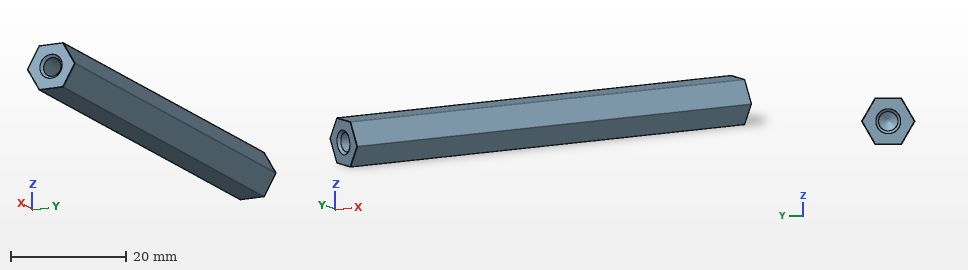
import cadquery as cq
import math

length = 80.0
across_flats = 8.0
across_corners = across_flats / math.cos(math.radians(30))
edge_break = 0.1

hole_diameter = 3.4
hole_depth = 12.0
mouth_diameter = 4.3
drill_tip_angle = 118.0
countersink_angle = 90.0

hole_radius = hole_diameter / 2
mouth_radius = mouth_diameter / 2
tip_length = hole_radius / math.tan(math.radians(drill_tip_angle / 2))
countersink_depth = (mouth_radius - hole_radius) / math.tan(math.radians(countersink_angle / 2))


def hexagonal_bar():
    """Bar with slightly rounded long corners and a fine chamfer around both ends."""
    bar = cq.Workplane("YZ").polygon(6, across_corners).extrude(length)
    bar = bar.edges("|X").fillet(edge_break)
    return bar.faces("<X or >X").edges().chamfer(edge_break)


def end_hole():
    """Countersunk blind hole with a drill tip, entering at X = 0 and running along +X."""
    return (
        cq.Workplane("XY")
        .moveTo(0, 0)
        .lineTo(0, mouth_radius)
        .lineTo(countersink_depth, hole_radius)
        .lineTo(hole_depth, hole_radius)
        .lineTo(hole_depth + tip_length, 0)
        .close()
        .revolve(360, (0, 0, 0), (1, 0, 0))
    )


near_hole = end_hole()
far_hole = end_hole().mirror("YZ").translate((length, 0, 0))

result = hexagonal_bar().cut(near_hole).cut(far_hole)